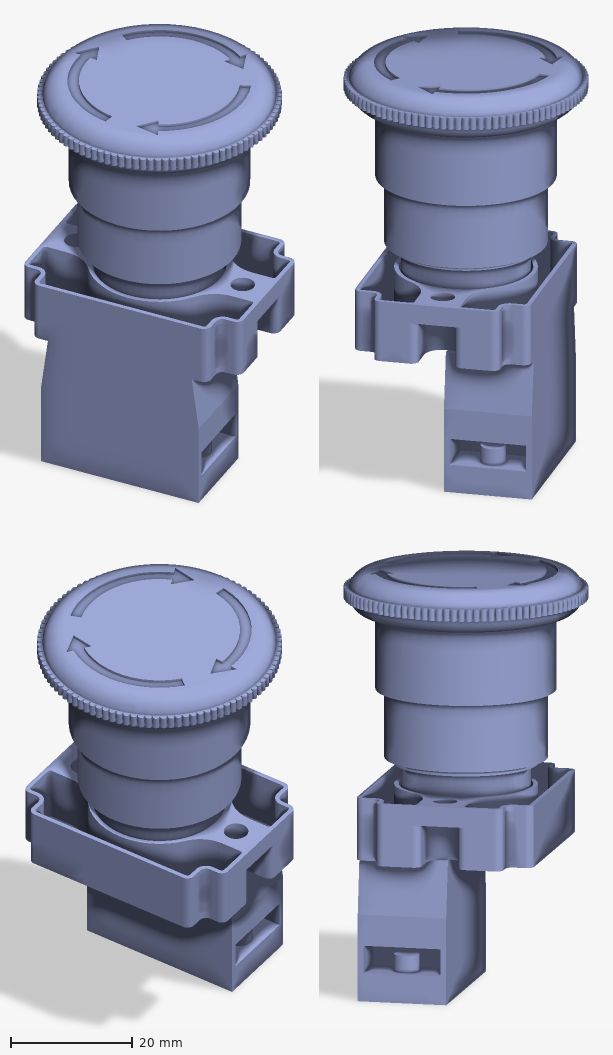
import cadquery as cq
import math

block_top = 24.05
base_top = 34.5
gasket_bottom = 38.1
sleeve_bottom = 39.05
collar_bottom = 50.55
head_bottom = 63.2
head_top = 70.36

head_dia = 38.8
head_edge_radius = 3.35
collar_dia = 29.97
sleeve_dia = 27.05
gasket_dia = 24.13
neck_dia = 21.46

knurl_dia = 40.41
knurl_height = 2.0
tooth_count = 100
tooth_depth = 0.7
tooth_share = 0.8

arrow_count = 3
arrow_depth = 0.5
arrow_radius = 14.25
arrow_shaft_width = 1.9
arrow_head_width = 4.4
arrow_tail_angle = 140
arrow_neck_angle = 55
arrow_tip_angle = 40

base_length = 40.06
base_width = 29.97
tab_width = 21.4
body_length = 32.2
corner_radius = 1.27
wall = 0.76
inner_corner_radius = corner_radius - wall
neck_bore_dia = 22.23
boss_dia = neck_bore_dia + 2 * wall
web_fillet = 6.6
channel_width = 6.35
channel_roof = 3.35
deck_hole_dia = 4.06
deck_hole_offset = 15.24
web_width = channel_width + 2 * wall

margin = 0.1

block_length = 28.9
block_top_length = 26.4
block_width = base_width / 2
taper_start = 14.6
window_width = 13.0
window_height = 4.55
window_floor = 4.82
screw_dia = 4.19
screw_height = 2.85
screw_offset = 10.9
window_depth = 2 * (block_length / 2 - screw_offset)


def disc(diameter, bottom, top):
    return cq.Workplane("XY").workplane(offset=bottom).circle(diameter / 2).extrude(top - bottom)


def polar(radius, degrees):
    angle = math.radians(degrees)
    return (radius * math.cos(angle), radius * math.sin(angle))


def knurl_ring():
    """Disc rimmed with round teeth and narrow valleys; one tooth points along +X."""
    tip_radius = knurl_dia / 2
    valley_radius = tip_radius - tooth_depth
    pitch = 360 / tooth_count
    outline = cq.Workplane("XY").workplane(offset=(head_bottom + head_top - knurl_height) / 2)
    half_tooth = pitch * tooth_share / 2
    outline = outline.moveTo(*polar(valley_radius, -half_tooth))
    for tooth in range(tooth_count):
        angle = tooth * pitch
        outline = outline.threePointArc(polar(tip_radius, angle), polar(valley_radius, angle + half_tooth))
        if tooth < tooth_count - 1:
            outline = outline.lineTo(*polar(valley_radius, angle + pitch - half_tooth))
    return outline.close().extrude(knurl_height)


def arrow_cutter():
    """One clockwise curved arrow, standing in the top face of the head."""
    inner = arrow_radius - arrow_shaft_width / 2
    outer = arrow_radius + arrow_shaft_width / 2
    middle_angle = (arrow_tail_angle + arrow_neck_angle) / 2
    return (
        cq.Workplane("XY")
        .workplane(offset=head_top - arrow_depth)
        .moveTo(*polar(inner, arrow_tail_angle))
        .lineTo(*polar(outer, arrow_tail_angle))
        .threePointArc(polar(outer, middle_angle), polar(outer, arrow_neck_angle))
        .lineTo(*polar(arrow_radius + arrow_head_width / 2, arrow_neck_angle))
        .lineTo(*polar(arrow_radius, arrow_tip_angle))
        .lineTo(*polar(arrow_radius - arrow_head_width / 2, arrow_neck_angle))
        .lineTo(*polar(inner, arrow_neck_angle))
        .threePointArc(polar(inner, middle_angle), polar(inner, arrow_tail_angle))
        .close()
        .extrude(2 * arrow_depth)
    )


def make_head():
    """Mushroom head: a disc with rounded edges, knurled rim, arrows and a collar below."""
    head = disc(head_dia, head_bottom, head_top).faces("<Z or >Z").edges().fillet(head_edge_radius)
    head = head.union(knurl_ring()).union(disc(collar_dia, collar_bottom, head_bottom))
    arrow = arrow_cutter()
    for index in range(arrow_count):
        head = head.cut(arrow.rotate((0, 0, 0), (0, 0, 1), index * 360 / arrow_count))
    return head


def base_blank(inset, bottom, top):
    """Cross-shaped block with rounded corners, its outline moved inwards by the inset."""
    height = top - bottom
    plane = cq.Workplane("XY").workplane(offset=bottom)
    body = plane.rect(body_length - 2 * inset, base_width - 2 * inset).extrude(height)
    tabs = plane.rect(base_length - 2 * inset, tab_width - 2 * inset).extrude(height)
    inside_corners = cq.selectors.BoxSelector(
        (-body_length / 2 - wall, -tab_width / 2 - wall, bottom - margin),
        (body_length / 2 + wall, tab_width / 2 + wall, top + margin),
    )
    blank = body.union(tabs)
    blank = blank.edges("|Z").edges(inside_corners).fillet(corner_radius + inset)
    ends = blank.edges("|Z and (>X or <X)").fillet(corner_radius - inset)
    return ends.edges("|Z and (>Y or <Y)").fillet(corner_radius - inset)


def base_island(bottom, top):
    """Central round boss with a web running out to the wall at each end."""
    height = top - bottom
    web = cq.Workplane("XY").workplane(offset=bottom).rect(base_length, web_width).extrude(height)
    island = disc(boss_dia, bottom, top).union(web)
    joints = cq.selectors.BoxSelector(
        (-boss_dia / 2, -web_width, bottom - margin), (boss_dia / 2, web_width, top + margin)
    )
    return island.edges("|Z").edges(joints).fillet(web_fillet)


def channel_cutter(side):
    """Round-ended channel in one end of the base, below the deck that holds the screw hole."""
    roof = base_top - channel_roof
    height = roof - block_top
    end_x = side * base_length / 2
    center_x = side * deck_hole_offset
    plane = cq.Workplane("XY").workplane(offset=block_top)
    straight = plane.center((end_x + center_x) / 2, 0).rect(abs(end_x - center_x), channel_width)
    straight = straight.extrude(height)
    round_end = plane.center(center_x, 0).circle(channel_width / 2).extrude(height)
    return straight.union(round_end)


def make_base():
    floor_top = block_top + wall
    base = base_blank(0, block_top, base_top)
    pockets = base_blank(wall, floor_top, base_top).cut(base_island(floor_top, base_top))
    pocket_corners = cq.selectors.BoxSelector(
        (-base_length, -web_width / 2 - margin, block_top), (base_length, web_width / 2 + margin, base_top)
    )
    pockets = pockets.edges("|Z and (>X or <X)").edges(pocket_corners).fillet(inner_corner_radius)
    base = base.cut(pockets)
    for side in (-1, 1):
        base = base.cut(channel_cutter(side))
        hole = disc(deck_hole_dia, block_top, base_top)
        base = base.cut(hole.translate((side * deck_hole_offset, 0, 0)))
    base = base.cut(disc(neck_bore_dia, floor_top, base_top))
    mouth_edges = cq.selectors.BoxSelector(
        (-base_length, -channel_width / 2 - margin, block_top),
        (base_length, channel_width / 2 + margin, base_top - channel_roof),
    )
    return base.edges("|Z and (>X or <X)").edges(mouth_edges).fillet(corner_radius)


def make_block():
    """Contact block under the -Y half of the base, tapered at the top, a window in each end."""
    block = (
        cq.Workplane("XZ")
        .moveTo(-block_length / 2, 0)
        .lineTo(block_length / 2, 0)
        .lineTo(block_length / 2, taper_start)
        .lineTo(block_top_length / 2, block_top)
        .lineTo(-block_top_length / 2, block_top)
        .lineTo(-block_length / 2, taper_start)
        .close()
        .extrude(block_width)
    )
    window = cq.Workplane("XY").box(window_depth, window_width, window_height)
    for side in (-1, 1):
        place = (side * screw_offset, -block_width / 2, window_floor + window_height / 2)
        block = block.cut(window.translate(place))
    return block


def make_screw(side):
    screw = disc(screw_dia, window_floor, window_floor + screw_height)
    return screw.translate((side * screw_offset, -block_width / 2, 0))


head = make_head()
sleeve = disc(sleeve_dia, sleeve_bottom, collar_bottom)
neck = disc(neck_dia, block_top + wall, sleeve_bottom)
gasket = disc(gasket_dia, gasket_bottom, sleeve_bottom).cut(neck)
base = make_base()
block = make_block()
screws = [make_screw(side) for side in (-1, 1)]

bodies = [head, sleeve, gasket, neck, base, block, *screws]
result = cq.Compound.makeCompound([body.solids().val() for body in bodies])